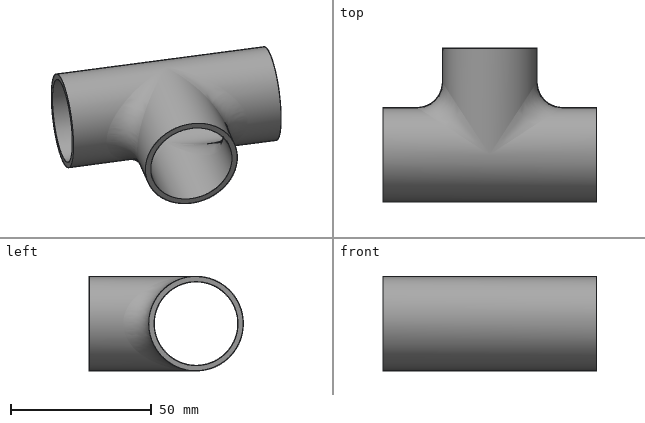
import cadquery as cq
import math

run_length = 76.0
branch_reach = 38.0
outer_diameter = 33.7
bore_diameter = 29.7
outer_blend_radius = 9.0

outer_radius = outer_diameter / 2
bore_radius = bore_diameter / 2
wall = outer_radius - bore_radius
bore_blend_radius = outer_blend_radius + wall

blend_rib_count = 9


def crossing_cylinders(radius):
    run = cq.Workplane("YZ").circle(radius).extrude(run_length / 2, both=True)
    branch = cq.Workplane("XZ").circle(radius).extrude(-branch_reach)
    return run.union(branch)


def blend_rib(radius, blend_radius, turn):
    """Half ellipse around the Z axis, through the blend's middle arc at the given turn."""
    arc_centre = radius + blend_radius
    reach_x = arc_centre - blend_radius * math.cos(turn)
    reach_y = arc_centre - blend_radius * math.sin(turn)
    return cq.Edge.makeEllipse(
        math.hypot(reach_x, reach_y),
        radius,
        pnt=cq.Vector(0, 0, 0),
        dir=cq.Vector(reach_y, -reach_x, 0),
        xdir=cq.Vector(reach_x, reach_y, 0),
        angle1=-90,
        angle2=90,
    )


def corner_wedge(radius, blend_radius):
    """Solid from the Z axis to the +X corner blend; its level arcs shrink to a point at both ends."""
    last_rib = blend_rib_count - 1
    ribs = [blend_rib(radius, blend_radius, math.pi / 2 * i / last_rib) for i in range(blend_rib_count)]
    blend = cq.occ_impl.shapes.loft(*ribs)
    axis = cq.Edge.makeLine(cq.Vector(0, 0, -radius), cq.Vector(0, 0, radius))
    rims = [edge for edge in blend.Edges() if edge.Length() > radius]
    sides = [cq.Face.makeFromWires(cq.Wire.assembleEdges([rim, axis])) for rim in rims]
    shell = cq.Shell.makeShell([blend] + sides)
    return cq.Workplane(obj=cq.Solid.makeSolid(shell).fix())


def blended_tee(radius, blend_radius):
    wedge = corner_wedge(radius, blend_radius)
    return crossing_cylinders(radius).union(wedge).union(wedge.mirror("YZ"))


outside = blended_tee(outer_radius, outer_blend_radius)
bore = blended_tee(bore_radius, bore_blend_radius)
result = cq.Workplane(obj=outside.cut(bore).solids().val())